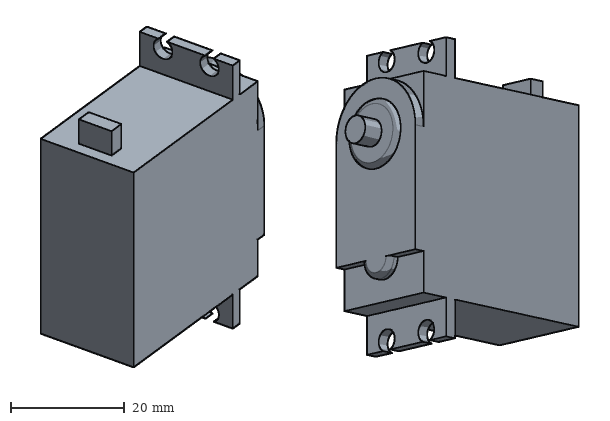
import cadquery as cq

case_width = 20.0
case_depth = 38.0
case_length = 40.0

cover_height = 2.0
cover_bottom = 7.5
lobe_radius = 3.5
lobe_fillet = 1.0

cover_radius = case_width / 2
shaft_z = case_length - cover_radius
collar_diameter = 12.6
collar_height = 1.0
collar_fillet = 1.0
shaft_diameter = 5.0
shaft_length = 4.0

ear_length = 7.0
ear_thickness = 2.2
ear_rear = 30.3
screw_diameter = 4.0
screw_spacing = 10.0
screw_edge_distance = 1.8

cable_width = 7.0
cable_thickness = 3.0
cable_length = 5.0
cable_rear = 2.5

cover_face = case_depth + cover_height
collar_face = cover_face + collar_height


def block(width, depth, height, rear, bottom):
    """Box centred in X, starting at the given rear Y and bottom Z."""
    return cq.Workplane("XY").box(width, depth, height, centered=(True, False, False)).translate(
        (0, rear, bottom)
    )


def cylinder(radius, length, rear, z, x=0.0):
    """Cylinder along +Y, starting at the given rear Y."""
    axis = cq.Vector(0, 1, 0)
    return cq.Workplane("XY").newObject([cq.Solid.makeCylinder(radius, length, cq.Vector(x, rear, z), axis)])


def make_case():
    return block(case_width, case_depth, case_length, 0, 0)


def make_cover():
    """Raised cover: straight sides, a round top end and a small round lobe below."""
    straight = block(case_width, cover_height, shaft_z - cover_bottom, case_depth, cover_bottom)
    round_end = cylinder(cover_radius, cover_height, case_depth, shaft_z)
    lobe = cylinder(lobe_radius, cover_height, case_depth, cover_bottom)
    lobe = lobe.faces(">Y").edges().fillet(lobe_fillet)
    return straight.union(round_end).union(lobe)


def make_output():
    """Rounded collar, rooted in the cover, with the output shaft."""
    collar = cylinder(collar_diameter / 2, cover_height + collar_height, case_depth, shaft_z)
    collar = collar.faces(">Y").edges().fillet(collar_fillet)
    shaft = cylinder(shaft_diameter / 2, shaft_length, collar_face, shaft_z)
    return collar.union(shaft)


def make_ears():
    """Both ears as one plate through the case, with screw holes open to the ends."""
    plate_bottom = -ear_length
    plate_top = case_length + ear_length
    plate = block(case_width, ear_thickness, plate_top - plate_bottom, ear_rear, plate_bottom)
    for x in (-screw_spacing / 2, screw_spacing / 2):
        for z in (plate_bottom + screw_edge_distance, plate_top - screw_edge_distance):
            plate = plate.cut(cylinder(screw_diameter / 2, ear_thickness, ear_rear, z, x))
    return plate


def make_cable_exit():
    return block(cable_width, cable_thickness, cable_length, cable_rear, case_length)


result = make_case()
for feature in (make_cover(), make_output(), make_ears(), make_cable_exit()):
    result = result.union(feature)